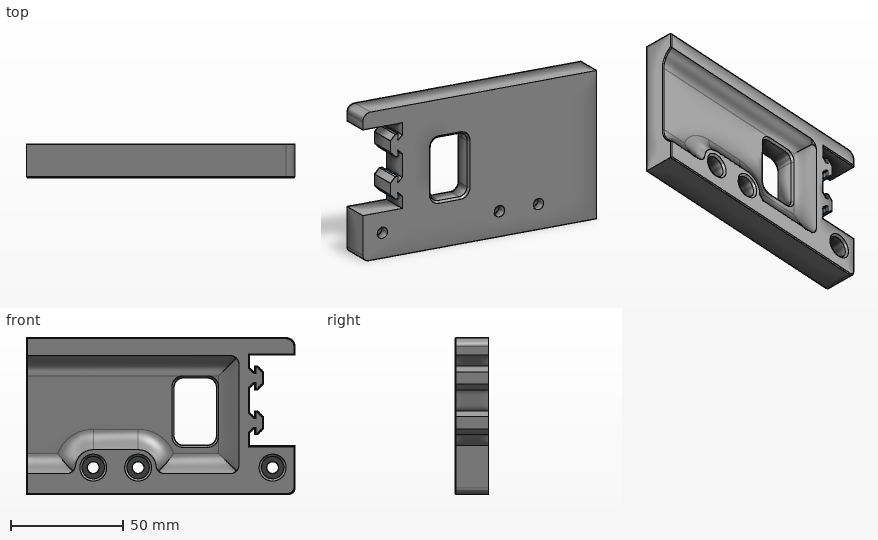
import cadquery as cq
LENGTH = 119.8
THICKNESS = 15.0
HEIGHT = 70.0
TOP_CORNER_RADIUS = 4.0
BOTTOM_CORNER_RADIUS = 3.0
EDGE_CHAMFER = 0.5

NOTCH_DEPTH = 20.2
NOTCH_BOTTOM = 21.8
NOTCH_TOP = 62.2
NOTCH_FLOOR_X = LENGTH - NOTCH_DEPTH
NOTCH_MIDDLE_Z = (NOTCH_BOTTOM + NOTCH_TOP) / 2

TOOTH_PITCH = 20.0
TOOTH_REACH = 6.1
TOOTH_ROOT_OVERLAP = 1.0
THROAT_HALF = 2.5
THROAT_LENGTH = 0.2
BARB_BACK = 2.2
BARB_WIDTH = 1.3
BARB_HALF = 5.3

HOLE_Z = 12.0
HOLE_END_DISTANCE = 10.0
ISLAND_HOLE_PITCH = 20.0
END_HOLE_SPACING = 60.0
END_HOLE_X = LENGTH - HOLE_END_DISTANCE
SECOND_HOLE_X = END_HOLE_X - END_HOLE_SPACING
FIRST_HOLE_X = SECOND_HOLE_X - ISLAND_HOLE_PITCH
HOLE_DIAMETER = 5.2
COUNTERBORE_DIAMETER = 10.0
COUNTERBORE_DEPTH = 10.0
HOLE_CHAMFER = 1.0

RECESS_DEPTH = 5.0
SIDE_RUN = 9.1
RIM_BOTTOM = 9.3
RIM_TOP = 62.0
RIM_RIGHT = 94.8
RIM_CORNER_RADIUS = 4.0
ISLAND_RADIUS = 8.0
SIDE_RADIUS = (SIDE_RUN**2 + RECESS_DEPTH**2) / (2 * RECESS_DEPTH)

WINDOW_WIDTH = 18.8
WINDOW_HEIGHT = 29.9
WINDOW_X = 75.3
WINDOW_Z = 36.95
WINDOW_CORNER_RADIUS = 4.0
WINDOW_CHAMFER = 1.0

OVERCUT = 20.0
TOLERANCE = 0.01


def upright_plane(depth=0.0):
    """Workplane parallel to the front face; negative extrusions run toward the back."""
    return cq.Workplane("XZ", origin=(0, depth, 0))


def block(x_min, x_max, z_min, z_max, depth):
    """Box that runs from the front face toward the back."""
    box = cq.Workplane("XY").box(x_max - x_min, depth, z_max - z_min, centered=False)
    return box.translate((x_min, 0, z_min))


def tooth(z_center):
    flank_run = BARB_BACK - THROAT_LENGTH
    root_half = THROAT_HALF + flank_run
    barb_front = BARB_BACK + BARB_WIDTH
    tip_half = BARB_HALF - (TOOTH_REACH - barb_front)
    upper = [
        (-TOOTH_ROOT_OVERLAP, root_half),
        (0, root_half),
        (flank_run, THROAT_HALF),
        (BARB_BACK, THROAT_HALF),
        (BARB_BACK, BARB_HALF),
        (barb_front, BARB_HALF),
        (TOOTH_REACH, tip_half),
    ]
    lower = [(x, -z) for x, z in reversed(upper)]
    points = [(NOTCH_FLOOR_X + x, z_center + z) for x, z in upper + lower]
    return upright_plane().polyline(points).close().extrude(-THICKNESS)


def notched_plate():
    plate = block(0, LENGTH, 0, HEIGHT, THICKNESS)
    plate = plate.edges("|Y and >X and >Z").fillet(TOP_CORNER_RADIUS)
    plate = plate.edges("|Y and >X and <Z").fillet(BOTTOM_CORNER_RADIUS)
    plate = plate.cut(block(NOTCH_FLOOR_X, LENGTH + OVERCUT, NOTCH_BOTTOM, NOTCH_TOP, THICKNESS))
    for side in (-1, 1):
        plate = plate.union(tooth(NOTCH_MIDDLE_Z + side * TOOTH_PITCH / 2))
    return plate


def recess_prism(growth, depth):
    """Straight-sided recess around the island at two holes, its sides moved outward by growth."""
    area = block(-OVERCUT, RIM_RIGHT + growth, RIM_BOTTOM - growth, RIM_TOP + growth, depth)
    radius = ISLAND_RADIUS - growth
    island = block(FIRST_HOLE_X, SECOND_HOLE_X, 0, HOLE_Z + radius, depth)
    for x in (FIRST_HOLE_X, SECOND_HOLE_X):
        island = island.union(upright_plane().center(x, HOLE_Z).circle(radius).extrude(-depth))
    return area.cut(island)


def is_rim_corner(edge):
    """True for the two right corners and the two corners where the island meets the bottom side."""
    center = edge.Center()
    at_right = center.x > RIM_RIGHT - TOLERANCE
    at_island = center.x > 0 and center.z < RIM_BOTTOM + TOLERANCE
    return at_right or at_island


def recess():
    """Scoop with large fillets around its floor, trimmed to a rim outline with rounded corners."""
    scoop_height = SIDE_RADIUS + RECESS_DEPTH
    scoop = recess_prism(SIDE_RADIUS - SIDE_RUN, scoop_height)
    scoop = scoop.faces(">Y").edges("not <X").fillet(SIDE_RADIUS)
    scoop = scoop.translate((0, RECESS_DEPTH - scoop_height, 0))
    trim = recess_prism(0, RECESS_DEPTH)
    trim = trim.edges("|Y").filter(is_rim_corner).fillet(RIM_CORNER_RADIUS)
    return scoop.intersect(trim)


def is_outline_edge(edge):
    """True for the front edges of the plate and the recess profile at the left end, not for the rim."""
    center = edge.Center()
    bounds = edge.BoundingBox()
    on_front = bounds.ymax < TOLERANCE
    in_rim_length = TOLERANCE < center.x < RIM_RIGHT + TOLERANCE
    in_rim_height = RIM_BOTTOM - TOLERANCE < center.z < RIM_TOP + TOLERANCE
    on_rim = in_rim_length and in_rim_height
    on_recess_end = bounds.xmax < TOLERANCE and bounds.ymax < RECESS_DEPTH + TOLERANCE
    return (on_front and not on_rim) or on_recess_end


def screw_hole(x):
    """Through hole with a chamfered counterbore in the front face."""
    start = upright_plane().center(x, HOLE_Z)
    bore_radius = COUNTERBORE_DIAMETER / 2
    shank = start.circle(HOLE_DIAMETER / 2).extrude(-THICKNESS)
    counterbore = start.circle(bore_radius).extrude(-COUNTERBORE_DEPTH)
    mouth = start.circle(bore_radius + HOLE_CHAMFER).extrude(-HOLE_CHAMFER, taper=45)
    return shank.union(counterbore).union(mouth)


def window_outline(depth, growth):
    """Rounded rectangle of the window at the given depth, enlarged by growth on every side."""
    outline = cq.Sketch().rect(WINDOW_WIDTH + 2 * growth, WINDOW_HEIGHT + 2 * growth)
    outline = outline.vertices().fillet(WINDOW_CORNER_RADIUS + growth)
    return upright_plane(depth).center(WINDOW_X, WINDOW_Z).placeSketch(outline)


def window():
    opening = window_outline(RECESS_DEPTH, 0).extrude(RECESS_DEPTH - THICKNESS)
    front_mouth = window_outline(RECESS_DEPTH, WINDOW_CHAMFER).extrude(-WINDOW_CHAMFER, taper=45)
    back_mouth = window_outline(THICKNESS, WINDOW_CHAMFER).extrude(WINDOW_CHAMFER, taper=45)
    return opening.union(front_mouth).union(back_mouth)


result = notched_plate().cut(recess())
result = result.edges().filter(is_outline_edge).chamfer(EDGE_CHAMFER)
for hole_x in (FIRST_HOLE_X, SECOND_HOLE_X, END_HOLE_X):
    result = result.cut(screw_hole(hole_x))
result = result.cut(window())